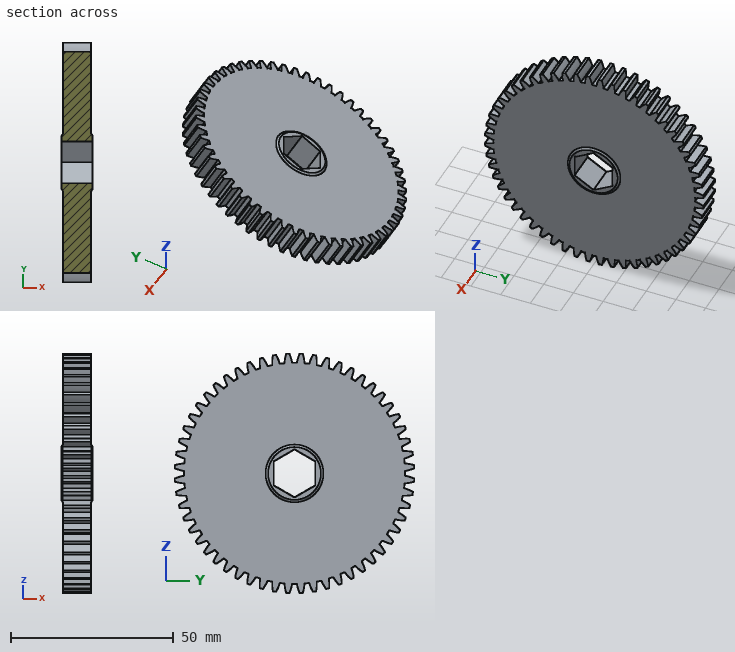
import cadquery as cq
import math

INCH = 25.4
DIAMETRAL_PITCH = 20
TOOTH_COUNT = 56
TIP_THICKNESS = 1.02
PITCH_THICKNESS = 1.82
ROOT_THICKNESS = 2.44
FACE_WIDTH = 8.74
OVERALL_WIDTH = 9.65
HUB_BASE_DIAMETER = 17.76
HUB_END_DIAMETER = 16.22
HEX_ACROSS_FLATS = INCH / 2

MODULE = INCH / DIAMETRAL_PITCH
ADDENDUM = MODULE
DEDENDUM = 1.25 * MODULE
PITCH_RADIUS = MODULE * TOOTH_COUNT / 2
TIP_RADIUS = PITCH_RADIUS + ADDENDUM
ROOT_RADIUS = PITCH_RADIUS - DEDENDUM
TOOTH_ANGLE = 2 * math.pi / TOOTH_COUNT

TIP_HALF_ANGLE = TIP_THICKNESS / (2 * TIP_RADIUS)
PITCH_HALF_ANGLE = PITCH_THICKNESS / (2 * PITCH_RADIUS)
ROOT_HALF_ANGLE = ROOT_THICKNESS / (2 * ROOT_RADIUS)

HUB_PROJECTION = (OVERALL_WIDTH - FACE_WIDTH) / 2


def polar(radius, angle):
    return (radius * math.cos(angle), radius * math.sin(angle))


def add_tooth(outline, center):
    """Add one tooth with arc flanks, then the root arc up to the next tooth."""
    tip_start = polar(TIP_RADIUS, center - TIP_HALF_ANGLE)
    tip_end = polar(TIP_RADIUS, center + TIP_HALF_ANGLE)
    root_start = polar(ROOT_RADIUS, center + ROOT_HALF_ANGLE)
    root_end = polar(ROOT_RADIUS, center + TOOTH_ANGLE - ROOT_HALF_ANGLE)

    outline = outline.threePointArc(polar(PITCH_RADIUS, center - PITCH_HALF_ANGLE), tip_start)
    outline = outline.threePointArc(polar(TIP_RADIUS, center), tip_end)
    outline = outline.threePointArc(polar(PITCH_RADIUS, center + PITCH_HALF_ANGLE), root_start)
    return outline.threePointArc(polar(ROOT_RADIUS, center + TOOTH_ANGLE / 2), root_end)


def toothed_disc():
    """Gear blank centred on the YZ plane, with tooth gaps on the Y and Z axes."""
    first_center = TOOTH_ANGLE / 2
    start = polar(ROOT_RADIUS, first_center - ROOT_HALF_ANGLE)
    outline = cq.Workplane("YZ", origin=(-FACE_WIDTH / 2, 0, 0)).moveTo(*start)
    for i in range(TOOTH_COUNT):
        outline = add_tooth(outline, first_center + i * TOOTH_ANGLE)
    return outline.close().extrude(FACE_WIDTH)


def hub(side):
    """Raised conical hub on the face at the given side (+1 or -1) of X."""
    cone = cq.Solid.makeCone(
        HUB_BASE_DIAMETER / 2,
        HUB_END_DIAMETER / 2,
        HUB_PROJECTION,
        pnt=cq.Vector(side * FACE_WIDTH / 2, 0, 0),
        dir=cq.Vector(side, 0, 0),
    )
    return cq.Workplane(obj=cone)


def hex_bore():
    """Through bore with two flats facing Y and two corners on Z."""
    corner_angle = 30
    across_corners = HEX_ACROSS_FLATS / math.cos(math.radians(corner_angle))
    plane = cq.Workplane("YZ", origin=(-OVERALL_WIDTH / 2, 0, 0))
    prism = plane.polygon(6, across_corners).extrude(OVERALL_WIDTH)
    return prism.rotate((0, 0, 0), (1, 0, 0), corner_angle)


result = toothed_disc().union(hub(1)).union(hub(-1)).cut(hex_bore())